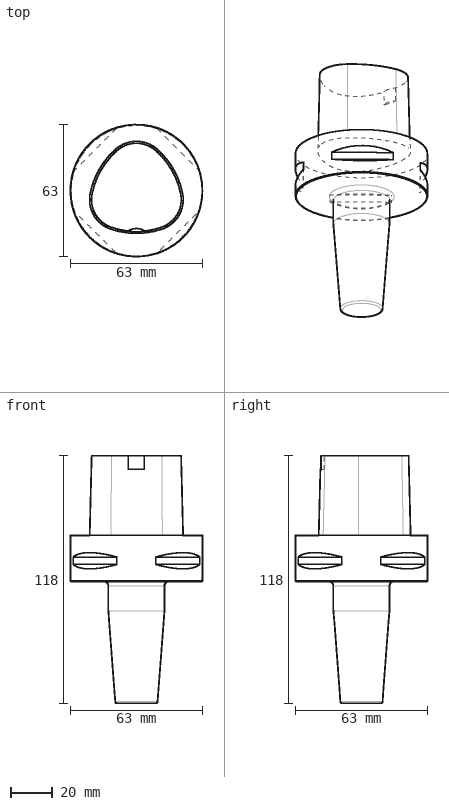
import cadquery as cq
import math

total_height = 118.0
shank_height = 38.0
flange_height = 22.0
nose_height = 44.2
flange_top = total_height - shank_height
flange_bottom = flange_top - flange_height

flange_radius = 63.0 / 2
flange_chamfer = 0.4
neck_radius = 26.9 / 2
neck_fillet = 2.0
nose_tip_radius = 20.3 / 2
nose_fillet = 1.0

lobe_reach = 23.5
side_reach = 20.4
lobe_radius = 14.9
shank_inset = shank_height / 40

notch_width = 7.5
notch_radius = 7.1
notch_inner_y = -18.0
notch_depth = 6.5

groove_count = 4
groove_floor = 27.8
groove_floor_height = 3.5
groove_side_angle = 30.0
groove_below_flange_top = 12.0


def polar_point(radius, angle):
    """Point in the XY plane at an angle in degrees."""
    turn = math.radians(angle)
    return radius * math.cos(turn), radius * math.sin(turn)


def make_body():
    """Flange, neck and tapered nose as one revolved profile."""
    return (
        cq.Workplane("XZ")
        .moveTo(0, 0)
        .lineTo(nose_tip_radius - nose_fillet, 0)
        .radiusArc((nose_tip_radius, nose_fillet), -nose_fillet)
        .lineTo(neck_radius, nose_height)
        .lineTo(neck_radius, flange_bottom - neck_fillet)
        .radiusArc((neck_radius + neck_fillet, flange_bottom), neck_fillet)
        .lineTo(flange_radius - flange_chamfer, flange_bottom)
        .lineTo(flange_radius, flange_bottom + flange_chamfer)
        .lineTo(flange_radius, flange_top)
        .lineTo(0, flange_top)
        .close()
        .revolve(360, (0, 0, 0), (0, 1, 0))
    )


def add_lobed_outline(workplane, inset):
    """Closed outline of three lobe arcs and three flatter, tangent side arcs."""
    lobe_centre = lobe_reach - lobe_radius
    side_radius = (
        (side_reach**2 + lobe_centre**2 - side_reach * lobe_centre - lobe_radius**2)
        / (2 * side_reach - lobe_centre - 2 * lobe_radius)
    )
    side_centre = side_radius - side_reach
    half_turn = math.atan2(
        lobe_centre * math.sin(math.radians(60)),
        side_centre + lobe_centre * math.cos(math.radians(60)),
    )
    along = (side_radius - inset) * math.cos(half_turn) - side_centre
    across = (side_radius - inset) * math.sin(half_turn)
    seam_radius = math.hypot(along, across)
    seam_angle = math.degrees(math.atan2(across, along))

    outline = workplane.moveTo(*polar_point(seam_radius, -90 - seam_angle))
    for side_angle in (-90, 30, 150):
        outline = outline.threePointArc(
            polar_point(side_reach - inset, side_angle),
            polar_point(seam_radius, side_angle + seam_angle),
        ).threePointArc(
            polar_point(lobe_reach - inset, side_angle + 60),
            polar_point(seam_radius, side_angle + 120 - seam_angle),
        )
    return outline.close()


def make_shank():
    """Tapered shank whose walls lean inwards equally all round."""
    base = add_lobed_outline(cq.Workplane("XY").workplane(offset=flange_top), 0)
    top_plane = base.workplane(offset=shank_height)
    return add_lobed_outline(top_plane, shank_inset).loft(ruled=True)


def make_notch():
    """Straight-sided slot cutter with a shallow curved back wall."""
    half_width = notch_width / 2
    corner_y = notch_inner_y - notch_radius + math.sqrt(notch_radius**2 - half_width**2)
    return (
        cq.Workplane("XY")
        .workplane(offset=total_height - notch_depth)
        .moveTo(-half_width, -lobe_reach)
        .lineTo(-half_width, corner_y)
        .threePointArc((0, notch_inner_y), (half_width, corner_y))
        .lineTo(half_width, -lobe_reach)
        .close()
        .extrude(notch_depth)
    )


def make_groove():
    """Straight cutter for the +X side, widening outwards from its flat floor."""
    depth = flange_radius - groove_floor
    floor_half = groove_floor_height / 2
    mouth_half = floor_half + depth * math.tan(math.radians(groove_side_angle))
    centre_z = flange_top - groove_below_flange_top
    return (
        cq.Workplane("XZ")
        .polyline([
            (groove_floor, centre_z - floor_half),
            (flange_radius, centre_z - mouth_half),
            (flange_radius, centre_z + mouth_half),
            (groove_floor, centre_z + floor_half),
        ])
        .close()
        .extrude(flange_radius, both=True)
    )


result = make_body().union(make_shank()).cut(make_notch())
groove = make_groove()
for index in range(groove_count):
    angle = (index + 0.5) * 360 / groove_count
    result = result.cut(groove.rotate((0, 0, 0), (0, 0, 1), angle))